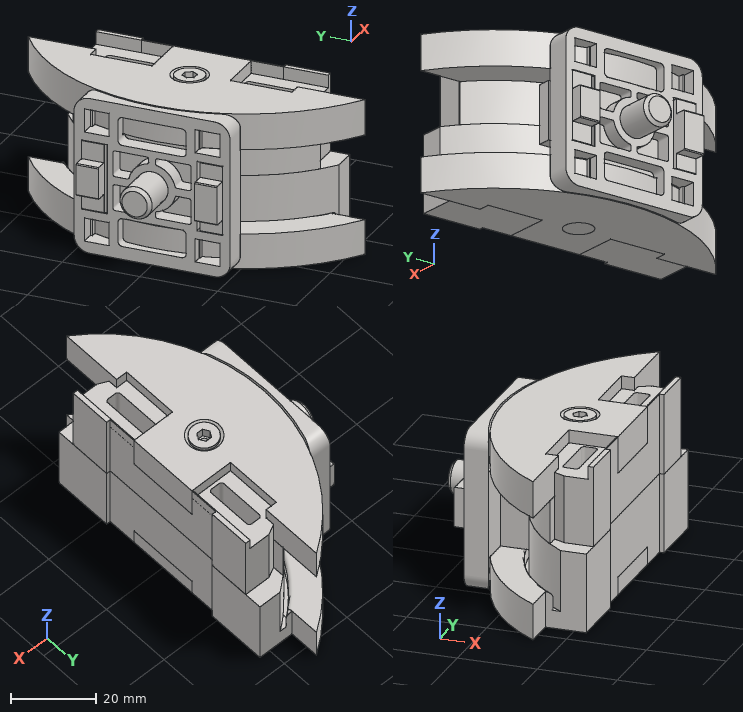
import cadquery as cq
import math


HEIGHT = 40.1
HALF_HEIGHT = HEIGHT / 2
GAP_TOP = 10.8
GAP_BOTTOM = -11.0
LEG_SPLIT = (GAP_TOP + GAP_BOTTOM) / 2

TIP_X = 4.1
TIP_Y = 43.35
CHEEK_APEX_X = -19.2
SAGITTA = TIP_X - CHEEK_APEX_X
CHEEK_R = (TIP_Y**2 + SAGITTA**2) / (2 * SAGITTA)
ARC_CENTER_X = CHEEK_APEX_X + CHEEK_R
STEP_X = 0.9
STEP_Y = 25.9
TONGUE_Y = 10.1
SPACER_FRONT_X = -17.8
SPACER_HALF_Y = 11.7

LEG_R = 42.9
BACK_X = 14.3
RECESS_X = 13.2
RECESS_HALF_Y = 18.3
UPPER_HALF_Y = 29.9
UPPER_NECK_Y = 28.5
UPPER_NECK_X = 6.9
LOWER_HALF_Y = 34.85
SHELF_Z = 16.8
WALL_X = 12.9
SLOT_X = 6.6
SLOT_Y = 17.95
SLOT_WIDTH = 4.0
SLOT_LENGTH = 13.9
SLOT_CORNER_R = 0.9
GROOVE_OUTER_R = 44.05
GROOVE_FLOOR_Z = -15.5
LIP_ROUND_R = 1.2

PIN_D = 7.6
PIN_SEAT_D = 9.3
SOCKET_FLATS = 3.1
HEXAGON_TURN = 30
SOCKET_DEPTH = 2.6
SOCKET_CONE_D = 2.1

FRAME_FRONT_X = -21.8
FRAME_BACK_X = -15.6
FRAME_HALF = HALF_HEIGHT
FRAME_CORNER_R = 4.0
FRAME_APEX_X = -19.7
FRAME_ARC_EDGE_Y = 19.9
LONG_SLOT_SIZE = (17.5, 7.2)
LONG_SLOT_Z = 13.1
LONG_SLOT_CORNER_R = 1.1
CORNER_HOLE_INNER_Y = 11.1
CORNER_HOLE_OUTER_Y = 17.4
CORNER_HOLE_Z = 14.1
CORNER_HOLE_HEIGHT = 6.0
OUTER_LEDGE = 0.5
OUTER_LEDGE_DEPTH = 3.5
INNER_LEDGE = 0.3
INNER_LEDGE_DEPTH = 2.3
WINDOW_OUTER_Y = 10.1
WINDOW_OUTER_Z = 7.7
RIB_HALF_Y = 0.9
RIB_HALF_Z = 1.0
BOSS_D = 12.1
WINDOW_CORNER_R = 0.6
LUG_Y = (17.3, 20.55)
LUG_HALF_Z = 7.5
LUG_LENGTH = 3.5

POCKET_INNER_Y = 11.5
CLIP_INNER_Y = 12.4
CLIP_OUTER_Y = 18.1
POCKET_HEIGHT = 17.95
CLIP_BASE_HEIGHT = 17.6
CLIP_BASE_DEPTH = 2.6
CLIP_STEM_HEIGHT = 9.8
CLIP_FRONT_X = -25.0
CLIP_CHAMFER = 0.3
FLANGE_SETBACK = 0.3
KEY_HEIGHTS = {1: 8.2, -1: 10.1}

STUD_D = 8.2
STUD_TIP_X = -31.8
STUD_CHAMFER = 0.9


def box(x_range, y_range, z_range):
    """Axis-aligned box from its limits along X, Y and Z."""
    limits = (x_range, y_range, z_range)
    sizes = [abs(high - low) for low, high in limits]
    corner = [min(pair) for pair in limits]
    return cq.Workplane("XY").box(*sizes, centered=False).translate(tuple(corner))


def plate(points, z_range):
    """Prism with a polygonal outline in XY."""
    bottom, top = z_range
    return cq.Workplane("XY").workplane(offset=bottom).polyline(points).close().extrude(top - bottom)


def disc(radius, center_x, z_range):
    """Upright cylinder centred on (center_x, 0)."""
    bottom, top = z_range
    base = cq.Workplane("XY").workplane(offset=bottom).center(center_x, 0)
    return base.circle(radius).extrude(top - bottom)


def mirrored(points):
    """Close a half outline given at +Y with its mirror image at -Y."""
    return points + [(x, -y) for x, y in reversed(points)]


PIN_SHAPE = disc(PIN_D / 2, 0, (-HALF_HEIGHT, HALF_HEIGHT))


def cheek(z_range):
    """Circular segment with a tongue between two notches on its straight side."""
    bottom, top = z_range
    half = [(STEP_X, STEP_Y), (STEP_X, TONGUE_Y), (RECESS_X, TONGUE_Y)]
    outline = cq.Workplane("XY").workplane(offset=bottom).moveTo(TIP_X, -TIP_Y)
    outline = outline.threePointArc((CHEEK_APEX_X, 0), (TIP_X, TIP_Y)).lineTo(TIP_X, STEP_Y)
    for x, y in mirrored(half):
        outline = outline.lineTo(x, y)
    return outline.lineTo(TIP_X, -STEP_Y).close().extrude(top - bottom)


def make_fork():
    """Two cheeks and a spacer, with the pin seat and a sunk bed for the lower leg."""
    spacer = box((SPACER_FRONT_X, 0), (-SPACER_HALF_Y, SPACER_HALF_Y), (GAP_BOTTOM, GAP_TOP))
    spacer = spacer.cut(disc(LEG_R, ARC_CENTER_X, (GAP_BOTTOM, GAP_TOP)))
    fork = cheek((GAP_TOP, HALF_HEIGHT)).union(cheek((-HALF_HEIGHT, GAP_BOTTOM))).union(spacer)
    seat_depth = (PIN_SEAT_D - PIN_D) / 2
    seat = cq.Workplane("XY").workplane(offset=HALF_HEIGHT).circle(PIN_SEAT_D / 2)
    seat = seat.workplane(offset=-seat_depth).circle(PIN_D / 2).loft()
    leg_bed = disc(LEG_R, ARC_CENTER_X, (GROOVE_FLOOR_Z, GAP_BOTTOM)).union(lip_groove())
    return fork.cut(PIN_SHAPE).cut(seat).cut(leg_bed)


def leg_segment(end_x, z_range):
    """Part of the leg disc that turns between the cheeks, up to a straight side at end_x."""
    block = box((CHEEK_APEX_X, end_x), (-TIP_Y, TIP_Y), z_range)
    return disc(LEG_R, ARC_CENTER_X, z_range).intersect(block)


def face_recess():
    """Shallow recess along the middle of the mounting face."""
    return box((RECESS_X, BACK_X), (-RECESS_HALF_Y, RECESS_HALF_Y), (-HALF_HEIGHT, HALF_HEIGHT))


def make_upper_leg(fork):
    """Leg with two slotted shelves in the cheek notches and an upright wall behind them."""
    outline = mirrored([
        (STEP_X, STEP_Y),
        (TIP_X, STEP_Y),
        (TIP_X, UPPER_NECK_Y),
        (UPPER_NECK_X, UPPER_HALF_Y),
        (BACK_X, UPPER_HALF_Y),
    ])
    leg = plate(outline, (LEG_SPLIT, SHELF_Z))
    leg = leg.union(leg_segment(TIP_X, (LEG_SPLIT, GAP_TOP)))
    leg = leg.union(box((WALL_X, BACK_X), (-UPPER_HALF_Y, UPPER_HALF_Y), (LEG_SPLIT, HALF_HEIGHT)))
    leg = leg.cut(face_recess()).cut(PIN_SHAPE).cut(fork)
    slots = cq.Workplane("XY").workplane(offset=LEG_SPLIT)
    slots = slots.pushPoints([(SLOT_X, SLOT_Y), (SLOT_X, -SLOT_Y)]).rect(SLOT_WIDTH, SLOT_LENGTH)
    slots = slots.extrude(SHELF_Z - LEG_SPLIT).edges("|Z").fillet(SLOT_CORNER_R)
    return leg.cut(slots)


def lip_groove():
    """Ring groove around the leg disc; its outer edge is rounded over."""
    lip_outer_r = GROOVE_OUTER_R + LIP_ROUND_R
    round_bottom = GAP_BOTTOM - LIP_ROUND_R
    diagonal = LIP_ROUND_R * math.sqrt(0.5)
    profile = (
        cq.Workplane("XZ")
        .moveTo(LEG_R, GROOVE_FLOOR_Z)
        .lineTo(GROOVE_OUTER_R, GROOVE_FLOOR_Z)
        .lineTo(GROOVE_OUTER_R, round_bottom)
        .threePointArc((lip_outer_r - diagonal, round_bottom + diagonal), (lip_outer_r, GAP_BOTTOM))
        .lineTo(LEG_R, GAP_BOTTOM)
        .close()
    )
    return profile.revolve(360, (0, 0, 0), (0, 1, 0)).translate((ARC_CENTER_X, 0, 0))


def make_lower_leg(fork):
    """Leg with a wide foot behind the lower cheek."""
    side_limits = (-LOWER_HALF_Y, LOWER_HALF_Y)
    leg = leg_segment(BACK_X, (GROOVE_FLOOR_Z, LEG_SPLIT))
    leg = leg.intersect(box((CHEEK_APEX_X, BACK_X), side_limits, (GROOVE_FLOOR_Z, LEG_SPLIT)))
    foot = box((TIP_X, BACK_X), side_limits, (-HALF_HEIGHT, GAP_BOTTOM))
    notch_fill = box((STEP_X, BACK_X), (-STEP_Y, STEP_Y), (-HALF_HEIGHT, GAP_BOTTOM))
    leg = leg.union(foot.cut(lip_groove())).union(notch_fill)
    return leg.cut(face_recess()).cut(PIN_SHAPE).cut(fork)


def make_pivot_pin():
    """Plain pin with a hexagon socket that ends in a drill cone."""
    socket_floor_z = HALF_HEIGHT - SOCKET_DEPTH
    socket = cq.Workplane("XY").workplane(offset=socket_floor_z)
    socket = socket.polygon(6, SOCKET_FLATS, circumscribed=True).extrude(SOCKET_DEPTH)
    socket = socket.rotate((0, 0, 0), (0, 0, 1), HEXAGON_TURN)
    cone_r = SOCKET_CONE_D / 2
    cone_tip_z = socket_floor_z - cone_r
    cone = cq.Workplane(cq.Solid.makeCone(0, cone_r, cone_r)).translate((0, 0, cone_tip_z))
    return PIN_SHAPE.cut(socket).cut(cone)


def frame_plane(x):
    """Workplane at x whose local axes are Y and Z and whose normal is +X."""
    return cq.Workplane("YZ").workplane(offset=x)


def frame_cut(y_range, z_range, depth):
    """Rectangular cut of the given depth from the front of the frame."""
    return box((FRAME_FRONT_X, FRAME_FRONT_X + depth), y_range, z_range)


def frame_back():
    """Space behind the frame: the cheeks' concave bed above and below, the spacer between."""
    rise = FRAME_BACK_X - FRAME_APEX_X
    radius = (FRAME_ARC_EDGE_Y**2 + rise**2) / (2 * rise)
    space = box((SPACER_FRONT_X, FRAME_BACK_X), (-SPACER_HALF_Y, SPACER_HALF_Y), (GAP_BOTTOM, GAP_TOP))
    for z_range in ((GAP_TOP, HALF_HEIGHT), (-HALF_HEIGHT, GAP_BOTTOM)):
        space = space.union(disc(radius, FRAME_APEX_X + radius, z_range))
    return space


def frame_window():
    """One of four windows around the central boss, at +Y +Z."""
    depth = SPACER_FRONT_X - FRAME_FRONT_X
    window = frame_cut((RIB_HALF_Y, WINDOW_OUTER_Y), (RIB_HALF_Z, WINDOW_OUTER_Z), depth)
    boss = frame_plane(FRAME_FRONT_X).circle(BOSS_D / 2).extrude(depth)
    return window.cut(boss).edges("|X").fillet(WINDOW_CORNER_R)


def corner_hole():
    """Square hole at +Y +Z, narrowed by a ledge on its outer and on its inner side."""
    z_range = (CORNER_HOLE_Z - CORNER_HOLE_HEIGHT / 2, CORNER_HOLE_Z + CORNER_HOLE_HEIGHT / 2)
    inner_y = CORNER_HOLE_INNER_Y + INNER_LEDGE
    outer_y = CORNER_HOLE_OUTER_Y - OUTER_LEDGE
    hole = frame_cut((inner_y, outer_y), z_range, FRAME_BACK_X - FRAME_FRONT_X)
    hole = hole.union(frame_cut((inner_y, CORNER_HOLE_OUTER_Y), z_range, OUTER_LEDGE_DEPTH))
    return hole.union(frame_cut((CORNER_HOLE_INNER_Y, outer_y), z_range, INNER_LEDGE_DEPTH))


def long_slot():
    """Wide slot above the boss, open to the cheek and to the spacer."""
    width, height = LONG_SLOT_SIZE
    z_range = (LONG_SLOT_Z - height / 2, LONG_SLOT_Z + height / 2)
    slot = frame_cut((-width / 2, width / 2), z_range, SPACER_FRONT_X - FRAME_FRONT_X)
    return slot.edges("|X").fillet(LONG_SLOT_CORNER_R)


def clip_shape(side, inner_y, base_height):
    """Base with a deeper stem, let into the frame on the given Y side."""
    y_range = (side * inner_y, side * CLIP_OUTER_Y)
    base_back = FRAME_FRONT_X + CLIP_BASE_DEPTH
    base = box((FRAME_FRONT_X, base_back), y_range, (-base_height / 2, base_height / 2))
    stem_z = (-CLIP_STEM_HEIGHT / 2, CLIP_STEM_HEIGHT / 2)
    return base.union(box((base_back, SPACER_FRONT_X), y_range, stem_z))


def make_clip(side):
    """Clip with its key; only the +Y clip has a side flange that fills its pocket."""
    key_half = KEY_HEIGHTS[side] / 2
    y_range = (side * CLIP_INNER_Y, side * CLIP_OUTER_Y)
    key = box((CLIP_FRONT_X, FRAME_FRONT_X), y_range, (-key_half, key_half))
    key = key.faces("<X").edges("|Y").chamfer(CLIP_CHAMFER)
    clip = clip_shape(side, CLIP_INNER_Y, CLIP_BASE_HEIGHT).union(key)
    if side > 0:
        flange = clip_shape(side, POCKET_INNER_Y, CLIP_BASE_HEIGHT)
        flange_front = FRAME_FRONT_X + FLANGE_SETBACK
        flange_space = box(
            (flange_front, SPACER_FRONT_X),
            (POCKET_INNER_Y, CLIP_INNER_Y),
            (-POCKET_HEIGHT / 2, POCKET_HEIGHT / 2),
        )
        clip = clip.union(flange.intersect(flange_space))
    return clip


def make_stud():
    """Round stud with a chamfered tip."""
    stud = frame_plane(STUD_TIP_X).circle(STUD_D / 2).extrude(SPACER_FRONT_X - STUD_TIP_X)
    return stud.faces("<X").chamfer(STUD_CHAMFER)


def make_frame(stud):
    """Square frame with windows, clip pockets, stud hole and a lug at its back."""
    square_side = (-FRAME_HALF, FRAME_HALF)
    frame = box((FRAME_FRONT_X, FRAME_BACK_X), square_side, square_side).edges("|X").fillet(FRAME_CORNER_R)
    frame = frame.cut(frame_back())
    for cut in (frame_window(), corner_hole()):
        for upper_cut in (cut, cut.mirror("XZ")):
            frame = frame.cut(upper_cut).cut(upper_cut.mirror("XY"))
    frame = frame.cut(long_slot()).cut(long_slot().mirror("XY"))
    for pocket_side in KEY_HEIGHTS:
        frame = frame.cut(clip_shape(pocket_side, POCKET_INNER_Y, POCKET_HEIGHT))
    lug = box((FRAME_BACK_X, FRAME_BACK_X + LUG_LENGTH), LUG_Y, (-LUG_HALF_Z, LUG_HALF_Z))
    return frame.union(lug).cut(stud)


fork = make_fork()
upper_leg = make_upper_leg(fork)
lower_leg = make_lower_leg(fork)
pivot_pin = make_pivot_pin()
stud = make_stud()
frame = make_frame(stud)
clips = [make_clip(side) for side in KEY_HEIGHTS]

result = cq.Compound.makeCompound([
    fork.solids().val(),
    upper_leg.solids().val(),
    lower_leg.solids().val(),
    pivot_pin.solids().val(),
    stud.solids().val(),
    frame.solids().val(),
    *[clip.solids().val() for clip in clips],
])